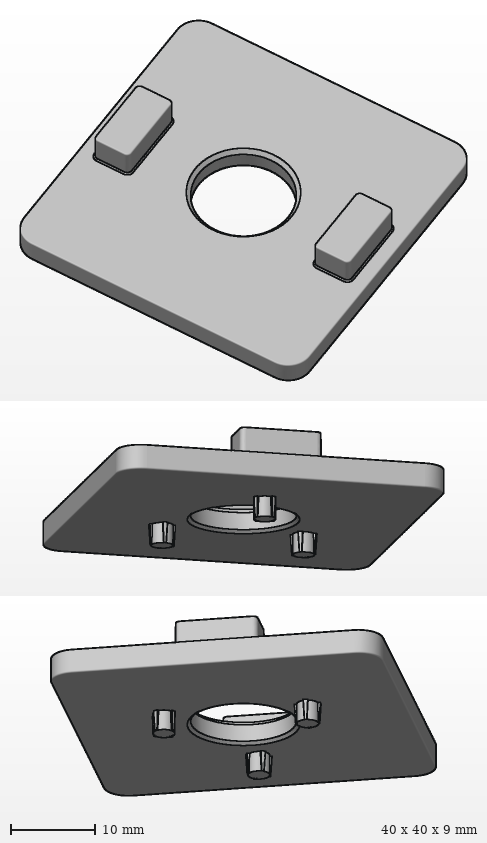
import cadquery as cq
import math

overall_height = 9.0

plate_side = 40
plate_thickness = 3.0
plate_corner_radius = 3.0
plate_edge_rounding = 0.2

hole_diameter = 12.5
hole_top_chamfer = 0.5
hole_bottom_chamfer = 0.4

block_width = 5.05
block_length = 10
block_center_x = 15.4
block_draft = 0.6
block_corner_radius = 0.65
block_top_rounding = 0.2
block_foot_chamfer = 0.2
block_foot_slope = 45

peg_count = 3
peg_circle_radius = 10
peg_first_angle = 60
peg_diameter = 2.6
peg_length = 2.48
rib_reach = 1.55
rib_width = 0.55
rib_draft = 3

block_height = overall_height - plate_thickness - peg_length


def make_plate():
    blank = (
        cq.Workplane("XY")
        .rect(plate_side, plate_side)
        .extrude(plate_thickness)
        .edges("|Z")
        .fillet(plate_corner_radius)
    )
    hole = cq.Workplane("XY").circle(hole_diameter / 2).extrude(plate_thickness)
    plate = blank.faces(">Z or <Z").edges().fillet(plate_edge_rounding).cut(hole)
    hole_rim = cq.selectors.RadiusNthSelector(-1)
    plate = plate.faces(">Z").edges(hole_rim).chamfer(hole_top_chamfer)
    return plate.faces("<Z").edges(hole_rim).chamfer(hole_bottom_chamfer)


def block_outline(foot_margin):
    """Rounded rectangle at the foot of a block, grown outwards by foot_margin."""
    return (
        cq.Sketch()
        .rect(block_width + 2 * foot_margin, block_length + 2 * foot_margin)
        .vertices()
        .fillet(block_corner_radius + foot_margin)
    )


def make_block():
    """Block standing on Z = 0, centred on the Z axis."""
    block = (
        cq.Workplane("XY")
        .placeSketch(block_outline(0))
        .extrude(block_height, taper=block_draft)
        .faces(">Z")
        .edges()
        .fillet(block_top_rounding)
    )
    foot = (
        cq.Workplane("XY")
        .placeSketch(block_outline(block_foot_chamfer))
        .extrude(block_foot_chamfer, taper=block_foot_slope)
    )
    return block.union(foot)


def make_peg():
    """Peg on the Z axis hanging below Z = 0, with its ribs along X and Y."""
    peg = cq.Workplane("XY").circle(peg_diameter / 2).extrude(-peg_length)
    for length_x, length_y in ((2 * rib_reach, rib_width), (rib_width, 2 * rib_reach)):
        bar = cq.Workplane("XY").rect(length_x, length_y).extrude(-peg_length, taper=rib_draft)
        peg = peg.union(bar)
    return peg


result = make_plate()

for side in (-1, 1):
    result = result.union(make_block().translate((side * block_center_x, 0, plate_thickness)))

first_angle = math.radians(peg_first_angle)
first_peg = make_peg().translate(
    (peg_circle_radius * math.cos(first_angle), peg_circle_radius * math.sin(first_angle), 0)
)
for index in range(peg_count):
    result = result.union(first_peg.rotate((0, 0, 0), (0, 0, 1), 360 * index / peg_count))